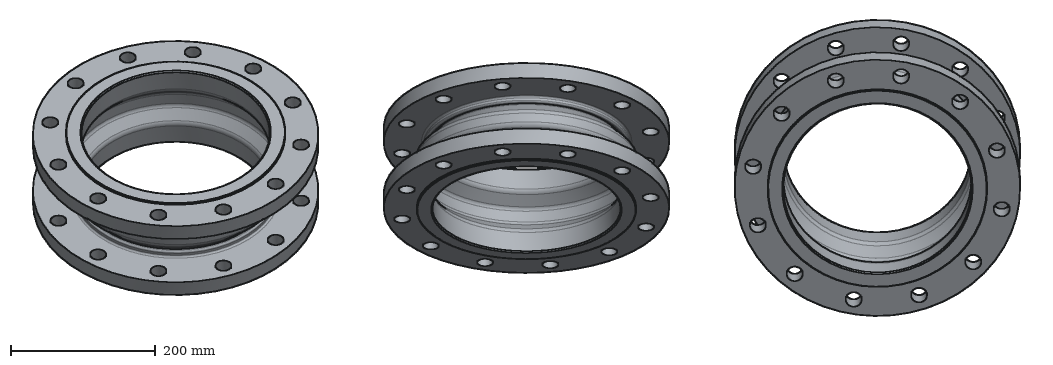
import cadquery as cq
import math

overall_height = 130.0
lip_thickness = 2.5
face_z = overall_height / 2
seat_z = face_z - lip_thickness

flange_radius = 395 / 2
flange_thickness = 23.5
flange_bore_radius = 270.0 / 2
flange_inner_z = seat_z - flange_thickness
hub_radius = 286.0 / 2
hub_tip_z = 30.0
hub_round = 2.8
hub_mouth_radius = 279.0 / 2
bolt_count = 12
bolt_hole_diameter = 22.0
bolt_circle_radius = 350.0 / 2

bore_radius = 260.0 / 2
tube_radius = 269.0 / 2
lip_radius = 304 / 2
lip_outer_chamfer = 1.0
lip_bore_chamfer = 2.0
crest_radius = 310.0 / 2
crest_half_width = 6.7
crest_bend = 10.0
crest_inner_radius = 296.0 / 2
crest_inner_half_width = 8.3
crest_inner_bend = 8.0
root_outer_bend = 5.5
root_bend = 10.0

BEND_AXIAL = math.sin(math.radians(45))
BEND_RADIAL = 1 - math.cos(math.radians(45))
MID_AXIAL = math.sin(math.radians(22.5))
MID_RADIAL = 1 - math.cos(math.radians(22.5))


def make_flange():
    """Upper flange with its hub pointing down toward the bellows crest."""
    arc_offset = hub_round * BEND_RADIAL
    tip_radius = hub_radius - hub_round
    mouth_round = hub_mouth_radius - flange_bore_radius
    mouth_offset = mouth_round * BEND_RADIAL
    profile = (
        cq.Workplane("XZ")
        .moveTo(flange_bore_radius, seat_z)
        .lineTo(flange_radius, seat_z)
        .lineTo(flange_radius, flange_inner_z)
        .lineTo(hub_radius + hub_round, flange_inner_z)
        .threePointArc(
            (hub_radius + arc_offset, flange_inner_z - arc_offset),
            (hub_radius, flange_inner_z - hub_round),
        )
        .lineTo(hub_radius, hub_tip_z + hub_round)
        .threePointArc(
            (hub_radius - arc_offset, hub_tip_z + arc_offset),
            (tip_radius, hub_tip_z),
        )
        .lineTo(hub_mouth_radius, hub_tip_z)
        .threePointArc(
            (flange_bore_radius + mouth_offset, hub_tip_z + mouth_offset),
            (flange_bore_radius, hub_tip_z + mouth_round),
        )
        .close()
    )
    flange = profile.revolve(360, (0, 0, 0), (0, 1, 0))
    first_hole_angle = 180 / bolt_count
    bolt_holes = (
        cq.Workplane("XY")
        .workplane(offset=flange_inner_z)
        .polarArray(bolt_circle_radius, first_hole_angle, 360, bolt_count)
        .circle(bolt_hole_diameter / 2)
        .extrude(flange_thickness)
    )
    return flange.cut(bolt_holes)


def make_bellows():
    """Thin sleeve with one convolution and a lip seated on each flange."""
    cone_top_radius = crest_radius - crest_bend * BEND_RADIAL
    cone_top_z = crest_half_width + crest_bend * BEND_AXIAL
    crest_mid_radius = crest_radius - crest_bend * MID_RADIAL
    crest_mid_z = crest_half_width + crest_bend * MID_AXIAL
    cone_foot_radius = tube_radius + root_outer_bend * BEND_RADIAL
    cone_foot_z = cone_top_z + cone_top_radius - cone_foot_radius
    tube_start_z = cone_foot_z + root_outer_bend * BEND_AXIAL
    foot_mid_radius = tube_radius + root_outer_bend * MID_RADIAL
    foot_mid_z = tube_start_z - root_outer_bend * MID_AXIAL

    inner_top_radius = crest_inner_radius - crest_inner_bend * BEND_RADIAL
    inner_top_z = crest_inner_half_width + crest_inner_bend * BEND_AXIAL
    inner_mid_radius = crest_inner_radius - crest_inner_bend * MID_RADIAL
    inner_mid_z = crest_inner_half_width + crest_inner_bend * MID_AXIAL
    root_radius = bore_radius + root_bend * BEND_RADIAL
    root_z = inner_top_z + inner_top_radius - root_radius
    bore_end_z = root_z + root_bend * BEND_AXIAL
    root_mid_radius = bore_radius + root_bend * MID_RADIAL
    root_mid_z = bore_end_z - root_bend * MID_AXIAL

    profile = (
        cq.Workplane("XZ")
        .moveTo(crest_radius, -crest_half_width)
        .lineTo(crest_radius, crest_half_width)
        .threePointArc((crest_mid_radius, crest_mid_z), (cone_top_radius, cone_top_z))
        .lineTo(cone_foot_radius, cone_foot_z)
        .threePointArc((foot_mid_radius, foot_mid_z), (tube_radius, tube_start_z))
        .lineTo(tube_radius, seat_z)
        .lineTo(lip_radius, seat_z)
        .lineTo(lip_radius, face_z - lip_outer_chamfer)
        .lineTo(lip_radius - lip_outer_chamfer, face_z)
        .lineTo(bore_radius + lip_bore_chamfer, face_z)
        .lineTo(bore_radius, face_z - lip_bore_chamfer)
        .lineTo(bore_radius, bore_end_z)
        .threePointArc((root_mid_radius, root_mid_z), (root_radius, root_z))
        .lineTo(inner_top_radius, inner_top_z)
        .threePointArc(
            (inner_mid_radius, inner_mid_z),
            (crest_inner_radius, crest_inner_half_width),
        )
        .lineTo(crest_inner_radius, -crest_inner_half_width)
        .threePointArc((inner_mid_radius, -inner_mid_z), (inner_top_radius, -inner_top_z))
        .lineTo(root_radius, -root_z)
        .threePointArc((root_mid_radius, -root_mid_z), (bore_radius, -bore_end_z))
        .lineTo(bore_radius, -face_z + lip_bore_chamfer)
        .lineTo(bore_radius + lip_bore_chamfer, -face_z)
        .lineTo(lip_radius - lip_outer_chamfer, -face_z)
        .lineTo(lip_radius, -face_z + lip_outer_chamfer)
        .lineTo(lip_radius, -seat_z)
        .lineTo(tube_radius, -seat_z)
        .lineTo(tube_radius, -tube_start_z)
        .threePointArc((foot_mid_radius, -foot_mid_z), (cone_foot_radius, -cone_foot_z))
        .lineTo(cone_top_radius, -cone_top_z)
        .threePointArc((crest_mid_radius, -crest_mid_z), (crest_radius, -crest_half_width))
        .close()
    )
    return profile.revolve(360, (0, 0, 0), (0, 1, 0))


bellows = make_bellows()

flanges = []
for turn in (0, 180):
    flange = make_flange().rotate((0, 0, 0), (1, 0, 0), turn)
    flanges.append(flange.val())

result = cq.Compound.makeCompound([bellows.val(), *flanges])